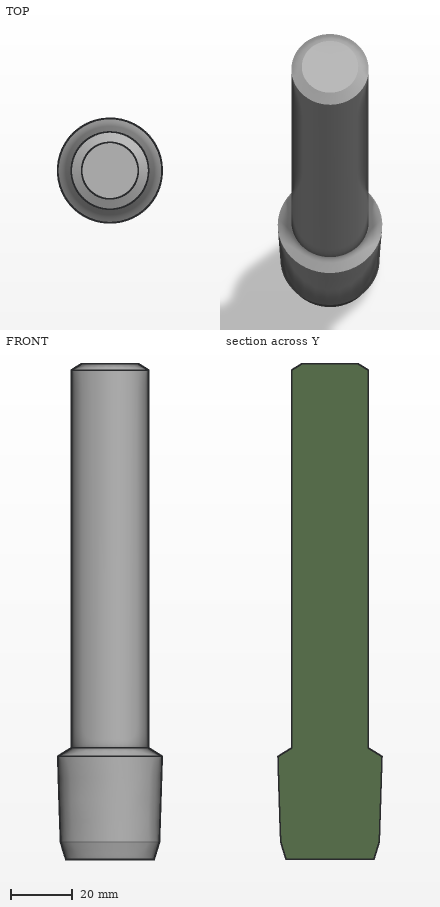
import cadquery as cq

total_length = 160.0

shank_diameter = 25.0
tip_diameter = 18.2
tip_chamfer_height = 2.0

head_diameter = 33.8
head_taper_end_diameter = 32.0
foot_diameter = 28.5
foot_height = 5.8
shoulder_bottom = 33.3
shoulder_top = 36.0

profile = [
    (0, 0),
    (foot_diameter / 2, 0),
    (head_taper_end_diameter / 2, foot_height),
    (head_diameter / 2, shoulder_bottom),
    (shank_diameter / 2, shoulder_top),
    (shank_diameter / 2, total_length - tip_chamfer_height),
    (tip_diameter / 2, total_length),
    (0, total_length),
]

result = cq.Workplane("XZ").polyline(profile).close().revolve(axisStart=(0, 0), axisEnd=(0, 1))